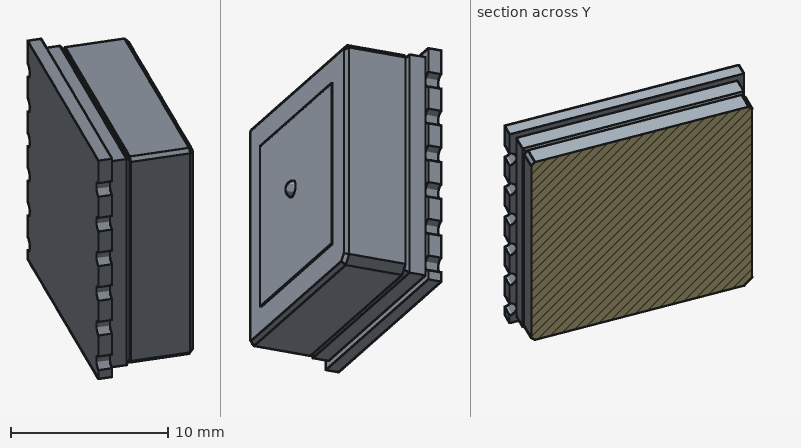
import cadquery as cq
import math

board_side = 16.0
board_thickness = 0.9
notch_radius = 0.5
notch_center_outset = 0.03
notch_center_x = board_side / 2 + notch_center_outset
notch_pitch = 2.54
notch_count = 6
notch_row_center_z = -0.5

body_side = 15.1
base_top_y = 2.0
block_bottom_y = 2.28
block_top_y = 6.47
edge_chamfer = 0.26
large_corner_chamfer = 0.55

patch_side = 11.1
patch_thickness = 0.08
dome_top_y = 6.95
dome_radius = 0.55
dome_x = 0.6
dome_z = 0.64


def square_slab(side, bottom_y, top_y):
    """Square slab centred on the Y axis between two Y levels."""
    height = top_y - bottom_y
    return cq.Workplane("XY").box(side, height, side).translate((0, bottom_y + height / 2, 0))


def make_board():
    board = square_slab(board_side, 0, board_thickness)
    first_z = notch_row_center_z - notch_pitch * (notch_count - 1) / 2
    for x in (-notch_center_x, notch_center_x):
        for index in range(notch_count):
            z = first_z + index * notch_pitch
            notch = cq.Solid.makeCylinder(
                notch_radius, board_thickness, cq.Vector(x, 0, z), cq.Vector(0, 1, 0)
            )
            board = board.cut(cq.Workplane(notch))
    return board


def make_base():
    """Square base whose bevelled top forms the groove below the block."""
    base = square_slab(body_side, board_thickness, block_bottom_y)
    return base.faces(">Y").chamfer(block_bottom_y - base_top_y)


def make_block():
    """Block with bevelled corners, the one at -X, -Z larger, and a bevelled top rim."""
    block = square_slab(body_side, block_bottom_y, block_top_y)
    block = block.edges("|Y and (>X or >Z)").chamfer(edge_chamfer)
    half = body_side / 2
    wedge = (
        cq.Workplane("XZ", origin=(0, block_top_y, 0))
        .moveTo(-half, -half)
        .lineTo(-half + large_corner_chamfer, -half)
        .lineTo(-half, -half + large_corner_chamfer)
        .close()
        .extrude(block_top_y - block_bottom_y)
    )
    block = block.cut(wedge)
    return block.faces(">Y").chamfer(edge_chamfer)


def make_patch():
    return square_slab(patch_side, block_top_y, block_top_y + patch_thickness)


def make_dome():
    """Spherical cap on the patch, with its foot sunk through to the block."""
    patch_top_y = block_top_y + patch_thickness
    cap_height = dome_top_y - patch_top_y
    sphere_radius = (dome_radius**2 + cap_height**2) / (2 * cap_height)
    sphere_center_y = dome_top_y - sphere_radius
    half_angle = math.asin(dome_radius / sphere_radius) / 2
    arc_middle = (
        sphere_radius * math.sin(half_angle),
        sphere_center_y + sphere_radius * math.cos(half_angle),
    )
    return (
        cq.Workplane("ZY", origin=(dome_x, 0, dome_z))
        .moveTo(0, block_top_y)
        .lineTo(dome_radius, block_top_y)
        .lineTo(dome_radius, patch_top_y)
        .threePointArc(arc_middle, (0, dome_top_y))
        .close()
        .revolve(360, (0, 0, 0), (0, 1, 0))
    )


result = make_board().union(make_base()).union(make_block()).union(make_patch()).union(make_dome())